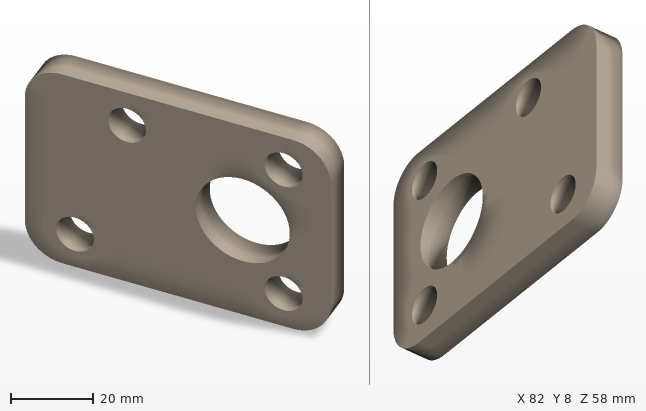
import cadquery as cq

length = 82.0
height = 58.0
thickness = 8.0
corner_radius = 10.0

bolt_hole_diameter = 10.2
bolt_row_z = height / 2 - corner_radius
right_column_x = 28.43
upper_row_spacing = 42.0
lower_row_spacing = 56.0
bolt_hole_positions = [
    (right_column_x, bolt_row_z),
    (right_column_x - upper_row_spacing, bolt_row_z),
    (right_column_x, -bolt_row_z),
    (right_column_x - lower_row_spacing, -bolt_row_z),
]

bore_diameter = 25.2
bore_x = 17.5


def rounded_plate():
    """Flat plate with its four corners rounded through the thickness."""
    plate = cq.Workplane("XY").box(length, thickness, height)
    return plate.edges("|Y").fillet(corner_radius)


def through_cylinders(positions, diameter):
    """Cylinders along Y, one per (x, z) position, spanning the plate thickness."""
    sketch = cq.Workplane("XZ", origin=(0, thickness / 2, 0)).pushPoints(positions).circle(diameter / 2)
    return sketch.extrude(thickness)


result = (
    rounded_plate()
    .cut(through_cylinders(bolt_hole_positions, bolt_hole_diameter))
    .cut(through_cylinders([(bore_x, 0)], bore_diameter))
)